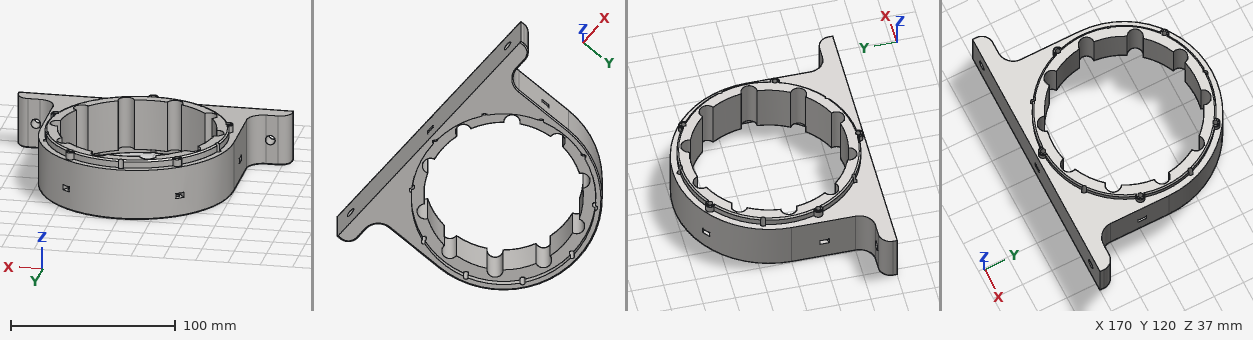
import cadquery as cq
import math

length = 170.0
ring_radius = 60.0
body_height = 32.1
total_height = 37.0
foot_thickness = 10.0
foot_corner_radius = 7.5
foot_root_radius = 10.0
bottom_chamfer = 0.8

mount_hole_diameter = 6.0
mount_hole_offset = 72.6

bore_radius = 48.5
notch_radius = 5.0
notch_circle_radius = 48.6
notch_count = 10

recess_radius = 56.1
recess_depth = 5.0

lip_radius = 56.0
lip_chamfer = 1.0
boss_diameter = 5.8
boss_chamfer = 0.5
boss_count = 5

screw_hole_diameter = 3.0
screw_circle_radius = 56.0
screw_count = 2 * boss_count

pattern_turn = 1.0
boss_angle = 270 + pattern_turn

nut_width = 5.5
nut_height = 3.2
nut_floor = 12.0

mount_face_y = -ring_radius
foot_back_y = mount_face_y + foot_thickness


def polar_points(radius, count, start_angle):
    angles = [math.radians(start_angle + i * 360 / count) for i in range(count)]
    return [(radius * math.cos(a), radius * math.sin(a)) for a in angles]


def make_body():
    half_length = length / 2
    body = (
        cq.Workplane("XY")
        .moveTo(-half_length, mount_face_y)
        .lineTo(half_length, mount_face_y)
        .lineTo(half_length, foot_back_y)
        .lineTo(ring_radius, foot_back_y)
        .lineTo(ring_radius, 0)
        .threePointArc((0, ring_radius), (-ring_radius, 0))
        .lineTo(-ring_radius, foot_back_y)
        .lineTo(-half_length, foot_back_y)
        .close()
        .extrude(body_height)
    )
    for side in (-1, 1):
        corner = (side * half_length, foot_back_y, body_height / 2)
        root = (side * ring_radius, foot_back_y, body_height / 2)
        body = body.edges(cq.NearestToPointSelector(corner)).fillet(foot_corner_radius)
        body = body.edges(cq.NearestToPointSelector(root)).fillet(foot_root_radius)
    return body.faces("<Z").edges("not(<Y)").chamfer(bottom_chamfer)


def make_lip():
    lip_height = total_height - body_height
    base = cq.Workplane("XY").workplane(offset=body_height)
    lip = base.circle(lip_radius).extrude(lip_height).faces(">Z").edges().chamfer(lip_chamfer)
    bosses = (
        base.pushPoints(polar_points(screw_circle_radius, boss_count, boss_angle))
        .circle(boss_diameter / 2)
        .extrude(lip_height)
        .faces(">Z")
        .edges()
        .chamfer(boss_chamfer)
    )
    return lip.union(bosses)


def make_bore():
    bore = cq.Workplane("XY").circle(bore_radius).extrude(total_height)
    notches = (
        cq.Workplane("XY")
        .pushPoints(polar_points(notch_circle_radius, notch_count, pattern_turn))
        .circle(notch_radius)
        .extrude(total_height)
    )
    recess = cq.Workplane("XY").circle(recess_radius).extrude(recess_depth)
    return bore.union(notches).union(recess)


def make_screw_holes():
    return (
        cq.Workplane("XY")
        .pushPoints(polar_points(screw_circle_radius, screw_count, boss_angle))
        .circle(screw_hole_diameter / 2)
        .extrude(total_height)
    )


def make_nut_pocket(angle):
    half_width = nut_width / 2
    point_depth = nut_width / math.sqrt(3)
    shoulder_depth = point_depth / 2
    outside = 2 * ring_radius
    return (
        cq.Workplane("XY")
        .workplane(offset=nut_floor)
        .polyline([
            (outside, -half_width),
            (outside, half_width),
            (screw_circle_radius - shoulder_depth, half_width),
            (screw_circle_radius - point_depth, 0),
            (screw_circle_radius - shoulder_depth, -half_width),
        ])
        .close()
        .extrude(nut_height)
        .rotate((0, 0, 0), (0, 0, 1), angle)
    )


def make_mount_holes():
    return (
        cq.Workplane("XZ", origin=(0, foot_back_y, body_height / 2))
        .pushPoints([(-mount_hole_offset, 0), (mount_hole_offset, 0)])
        .circle(mount_hole_diameter / 2)
        .extrude(foot_thickness)
    )


nut_step_angle = 360 / boss_count
result = make_body().union(make_lip())
result = result.cut(make_bore()).cut(make_screw_holes()).cut(make_mount_holes())
for index in range(boss_count):
    result = result.cut(make_nut_pocket(boss_angle + index * nut_step_angle))